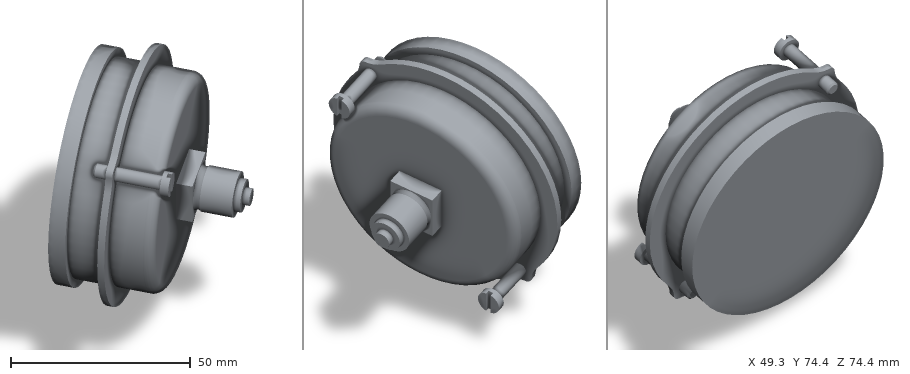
import cadquery as cq
import math

BEZEL_END = 4.9
FLANGE_START = 14.95
FLANGE_THICKNESS = 2.0
BODY_END = 29.5
BLOCK_END = 34.2
NECK_END = 36.1
BARREL_END = 45.35
COLLAR_END = 47.3
TIP_END = 49.3

BEZEL_DIAMETER = 68.0
BODY_DIAMETER = 63.0
BODY_FILLET = 3.0

FLANGE_RADIUS = 37.2
LUG_CENTER_RADIUS = 37.45
LUG_TIP_RADIUS = 2.0
LUG_BLEND_RADIUS = 9.3
LUG_ANGLES = (135, 315)

BLOCK_SIDE = 14.0
BARREL_DIAMETER = 13.15
NECK_END_DIAMETER = 13.0
NECK_WAIST_DIAMETER = 12.35
COLLAR_DIAMETER = 9.5
TIP_DIAMETER = 5.0

SCREW_OFFSET = 24.75
SCREW_START = 10.85
SCREW_DIAMETER = 4.0
SCREW_CHAMFER = 0.5
HEAD_START = 30.5
HEAD_END = 32.9
HEAD_DIAMETER = 7.0
SLOT_WIDTH = 1.5
SLOT_DEPTH = 1.2


def cylinder(start, end, diameter, y=0, z=0):
    """Cylinder along X between two X positions."""
    plane = cq.Workplane("YZ", origin=(start, y, z))
    return plane.circle(diameter / 2).extrude(end - start)


def polar(radius, angle):
    return (radius * math.cos(angle), radius * math.sin(angle))


def make_flange():
    """Round flange whose lugs blend into the rim through concave arcs."""
    blend_center_radius = FLANGE_RADIUS + LUG_BLEND_RADIUS
    center_gap = LUG_TIP_RADIUS + LUG_BLEND_RADIUS
    blend_angle = math.acos(
        (blend_center_radius**2 + LUG_CENTER_RADIUS**2 - center_gap**2)
        / (2 * blend_center_radius * LUG_CENTER_RADIUS)
    )
    blend_u, blend_v = polar(blend_center_radius, blend_angle)
    tip_angle = math.atan2(blend_v, blend_u - LUG_CENTER_RADIUS)

    rim = polar(FLANGE_RADIUS, blend_angle)
    tip_u, tip_v = polar(LUG_TIP_RADIUS, tip_angle)
    shoulder = (LUG_CENTER_RADIUS + tip_u, tip_v)
    middle_angle = (blend_angle + tip_angle) / 2
    arc_u, arc_v = polar(LUG_BLEND_RADIUS, middle_angle)
    blend_middle = (blend_u - arc_u, blend_v - arc_v)
    peak = (LUG_CENTER_RADIUS + LUG_TIP_RADIUS, 0)

    def place(point, lug_angle, side):
        u, v = point
        return polar(math.hypot(u, v), lug_angle + side * math.atan2(v, u))

    first, second = (math.radians(angle) for angle in LUG_ANGLES)
    outline = cq.Workplane("YZ", origin=(FLANGE_START, 0, 0)).moveTo(*place(rim, first, -1))
    for lug, next_lug in ((first, second), (second, first + 2 * math.pi)):
        outline = (
            outline.threePointArc(place(blend_middle, lug, -1), place(shoulder, lug, -1))
            .threePointArc(place(peak, lug, 1), place(shoulder, lug, 1))
            .threePointArc(place(blend_middle, lug, 1), place(rim, lug, 1))
            .threePointArc(polar(FLANGE_RADIUS, (lug + next_lug) / 2), place(rim, next_lug, -1))
        )
    return outline.close().extrude(FLANGE_THICKNESS)


def make_case():
    bezel = cylinder(0, BEZEL_END, BEZEL_DIAMETER)
    body = cylinder(0, BODY_END, BODY_DIAMETER).faces(">X").edges().fillet(BODY_FILLET)
    return bezel.union(body)


def make_connector():
    block_length = BLOCK_END - BODY_END
    block = cq.Workplane("YZ", origin=(BODY_END, 0, 0)).rect(BLOCK_SIDE, BLOCK_SIDE).extrude(block_length)
    neck_middle = (BLOCK_END + NECK_END) / 2
    neck = (
        cq.Workplane("XY")
        .moveTo(BLOCK_END, 0)
        .lineTo(BLOCK_END, NECK_END_DIAMETER / 2)
        .threePointArc((neck_middle, NECK_WAIST_DIAMETER / 2), (NECK_END, NECK_END_DIAMETER / 2))
        .lineTo(NECK_END, 0)
        .close()
        .revolve(360, (0, 0, 0), (1, 0, 0))
    )
    barrel = cylinder(NECK_END, BARREL_END, BARREL_DIAMETER)
    collar = cylinder(BARREL_END, COLLAR_END, COLLAR_DIAMETER)
    tip = cylinder(COLLAR_END, TIP_END, TIP_DIAMETER)
    return block.union(neck).union(barrel).union(collar).union(tip)


def make_screw(y, z):
    """Cheese-head screw along X with its driver slot parallel to Z."""
    shank = cylinder(SCREW_START, HEAD_START, SCREW_DIAMETER, y, z)
    shank = shank.faces("<X").edges().chamfer(SCREW_CHAMFER)
    head = cylinder(HEAD_START, HEAD_END, HEAD_DIAMETER, y, z)
    slot = (
        cq.Workplane("YZ", origin=(HEAD_END - SLOT_DEPTH, y, z))
        .rect(SLOT_WIDTH, HEAD_DIAMETER)
        .extrude(SLOT_DEPTH)
    )
    return shank.union(head.cut(slot))


result = make_case().union(make_flange()).union(make_connector())
for side in (-1, 1):
    result = result.union(make_screw(side * SCREW_OFFSET, -side * SCREW_OFFSET))